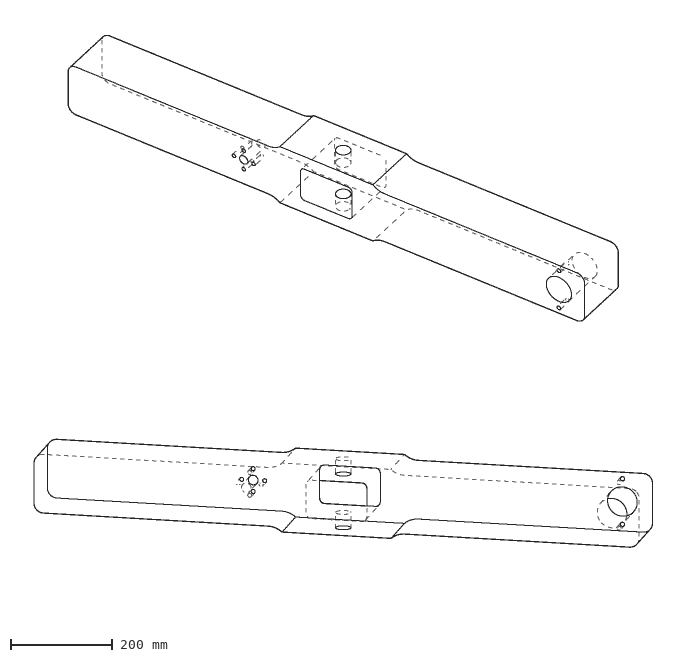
import cadquery as cq
import math

length = 1220.0
width = 120.0
arm_height = 120.0
hub_height = 140.0
hub_half_length = 110.0
transition_run = 28.0
corner_radius = 20.0

window_length = 122.0
window_height = 78.0
window_corner_radius = 10.0
vertical_hole_diameter = 30.0

bore_x = 549.0
bore_diameter = 60.0
bore_depth = 92.0
dowel_offset = 46.0
dowel_diameter = 9.0
dowel_depth = 30.0

pivot_x = -195.0
pivot_diameter = 20.0
pivot_depth = 61.0
screw_offset = 23.0
screw_count = 4
screw_diameter = 8.0
screw_depth = 30.0


def beam():
    """Straight arms flowing into a taller hub through concave arcs."""
    end_x = length / 2
    arm_z = arm_height / 2
    hub_z = hub_height / 2
    hub_x = hub_half_length
    arm_x = hub_half_length + transition_run
    rise = hub_z - arm_z
    arc_radius = (transition_run**2 + rise**2) / (2 * rise)
    half_sweep = math.asin(transition_run / arc_radius) / 2
    mid_x = arm_x - arc_radius * math.sin(half_sweep)
    mid_z = arm_z + arc_radius * (1 - math.cos(half_sweep))
    body = (
        cq.Workplane("XZ", origin=(0, width / 2, 0))
        .moveTo(-end_x, arm_z)
        .lineTo(-arm_x, arm_z)
        .threePointArc((-mid_x, mid_z), (-hub_x, hub_z))
        .lineTo(hub_x, hub_z)
        .threePointArc((mid_x, mid_z), (arm_x, arm_z))
        .lineTo(end_x, arm_z)
        .lineTo(end_x, -arm_z)
        .lineTo(arm_x, -arm_z)
        .threePointArc((mid_x, -mid_z), (hub_x, -hub_z))
        .lineTo(-hub_x, -hub_z)
        .threePointArc((-mid_x, -mid_z), (-arm_x, -arm_z))
        .lineTo(-end_x, -arm_z)
        .close()
        .extrude(width)
    )
    return body.faces("<X or >X").edges("|Y").fillet(corner_radius)


def front_holes(points, diameter, depth):
    """Blind holes drilled from the -Y face at (x, z) points."""
    return (
        cq.Workplane("XZ", origin=(0, -width / 2, 0))
        .pushPoints(points)
        .circle(diameter / 2)
        .extrude(-depth)
    )


def window():
    return (
        cq.Workplane("XY")
        .box(window_length, width, window_height)
        .edges("|Y")
        .fillet(window_corner_radius)
    )


def vertical_hole():
    return cq.Workplane("XY").circle(vertical_hole_diameter / 2).extrude(hub_height / 2, both=True)


dowel_points = [(bore_x, side * dowel_offset) for side in (-1, 1)]
screw_angles = [2 * math.pi * i / screw_count for i in range(screw_count)]
screw_points = [
    (pivot_x + screw_offset * math.cos(angle), screw_offset * math.sin(angle))
    for angle in screw_angles
]

result = (
    beam()
    .cut(window())
    .cut(vertical_hole())
    .cut(front_holes([(bore_x, 0)], bore_diameter, bore_depth))
    .cut(front_holes(dowel_points, dowel_diameter, dowel_depth))
    .cut(front_holes([(pivot_x, 0)], pivot_diameter, pivot_depth))
    .cut(front_holes(screw_points, screw_diameter, screw_depth))
)